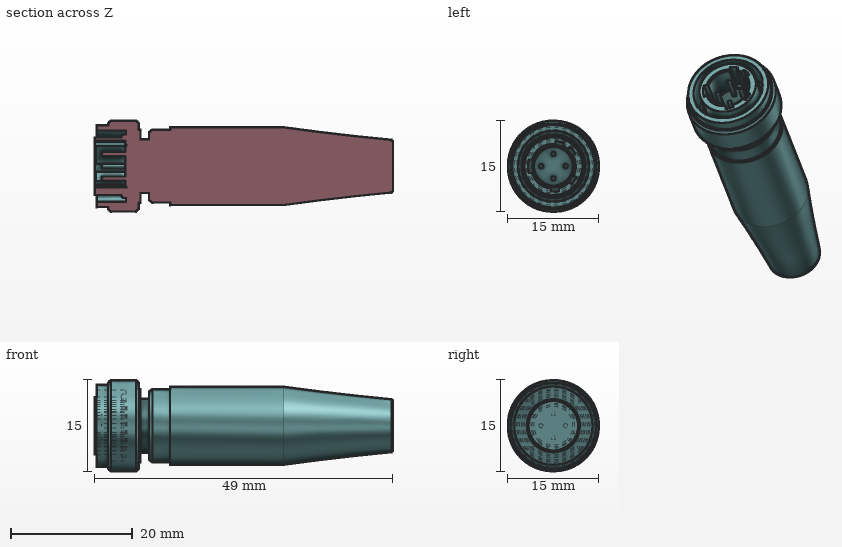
import cadquery as cq
import math


length = 49.0
sleeve_front = 0.35
nut_front = 2.2
nut_back = 7.25
lip_back = 7.55
collar_front = 8.9
body_front = 12.4
taper_start = 31.0

contact_ring_radius = 4.75
sleeve_radius = 6.75
nut_radius = 7.5
neck_radius = 4.45
collar_radius = 6.05
lip_radius = collar_radius
body_radius = 6.4
tail_radius = 4.35

nut_chamfer = 0.45
collar_chamfer_length = 0.6
collar_chamfer_height = 0.45
tail_chamfer = 0.3

taper_sag = 0.1

gap_outer_radius = 5.85
gap_step_radius = 5.0
gap_base_radius = 5.25
gap_step_depth = 4.4
gap_depth = 5.15

bore_radius = 3.5
bore_chamfer = 0.2
bore_depth = 5.0
insert_chamfer = 0.3

keyway_radius = 4.15
wide_keyway = 2.2
narrow_keyway = 1.3
keyways = [
    (0, wide_keyway),
    (105, narrow_keyway),
    (140, narrow_keyway),
    (215, narrow_keyway),
    (266, narrow_keyway),
]

pin_count = 4
pin_radius = 0.35
pin_nose_radius = 0.25
pin_circle_radius = 2.0
pin_tip = 1.15


def revolve_about_x(profile):
    """Revolve a closed XY profile, with y as the radius, about the X axis."""
    return profile.close().revolve(360, (0, 0, 0), (1, 0, 0))


def outer_shell():
    """Solid turned outline of the whole connector."""
    taper_end = length - tail_chamfer
    taper_middle = (taper_start + taper_end) / 2
    taper_middle_radius = (body_radius + tail_radius) / 2 - taper_sag
    profile = (
        cq.Workplane("XY")
        .moveTo(0, 0)
        .lineTo(0, contact_ring_radius)
        .lineTo(sleeve_front, contact_ring_radius)
        .lineTo(sleeve_front, sleeve_radius)
        .lineTo(nut_front, sleeve_radius)
        .lineTo(nut_front, nut_radius - nut_chamfer)
        .lineTo(nut_front + nut_chamfer, nut_radius)
        .lineTo(nut_back - nut_chamfer, nut_radius)
        .lineTo(nut_back, nut_radius - nut_chamfer)
        .lineTo(nut_back, lip_radius)
        .lineTo(lip_back, lip_radius)
        .lineTo(lip_back, neck_radius)
        .lineTo(collar_front, neck_radius)
        .lineTo(collar_front, collar_radius - collar_chamfer_height)
        .lineTo(collar_front + collar_chamfer_length, collar_radius)
        .lineTo(body_front, collar_radius)
        .lineTo(body_front, body_radius)
        .lineTo(taper_start, body_radius)
        .threePointArc((taper_middle, taper_middle_radius), (taper_end, tail_radius))
        .lineTo(length, tail_radius - tail_chamfer)
        .lineTo(length, 0)
    )
    return revolve_about_x(profile)


def sleeve_gap():
    """Annular gap around the contact ring, with a chamfered step near its bottom."""
    step_chamfer = gap_base_radius - gap_step_radius
    profile = (
        cq.Workplane("XY")
        .moveTo(0, contact_ring_radius)
        .lineTo(0, gap_outer_radius)
        .lineTo(gap_depth, gap_outer_radius)
        .lineTo(gap_depth, gap_base_radius)
        .lineTo(gap_step_depth + step_chamfer, gap_base_radius)
        .lineTo(gap_step_depth, gap_step_radius)
        .lineTo(gap_step_depth, contact_ring_radius)
    )
    return revolve_about_x(profile)


def socket_bore():
    """Bore with a chamfered mouth, leaving a chamfered insert face at its bottom."""
    profile = (
        cq.Workplane("XY")
        .moveTo(0, 0)
        .lineTo(0, bore_radius + bore_chamfer)
        .lineTo(bore_chamfer, bore_radius)
        .lineTo(bore_depth + insert_chamfer, bore_radius)
        .lineTo(bore_depth, bore_radius - insert_chamfer)
        .lineTo(bore_depth, 0)
    )
    return revolve_about_x(profile)


def keyway(angle, width):
    """Parallel-sided slot in the bore wall with a bottom concentric with the bore."""
    inner_radius = bore_radius * math.cos(math.asin(width / 2 / bore_radius))
    height = keyway_radius - inner_radius
    slot = cq.Workplane("XY").box(bore_depth, height, width, centered=(False, False, True))
    slot = slot.translate((0, inner_radius, 0))
    limit = cq.Workplane("YZ").circle(keyway_radius).extrude(bore_depth)
    return slot.intersect(limit).rotate((0, 0, 0), (1, 0, 0), angle)


def contact_pin(angle):
    """Round-nosed pin standing on the insert face."""
    root_overlap = 0.5
    pin = (
        cq.Workplane("XY")
        .moveTo(pin_tip, 0)
        .lineTo(pin_tip, pin_radius - pin_nose_radius)
        .radiusArc((pin_tip + pin_nose_radius, pin_radius), pin_nose_radius)
        .lineTo(bore_depth + root_overlap, pin_radius)
        .lineTo(bore_depth + root_overlap, 0)
    )
    pin = revolve_about_x(pin).translate((0, pin_circle_radius, 0))
    return pin.rotate((0, 0, 0), (1, 0, 0), angle)


result = outer_shell().cut(sleeve_gap()).cut(socket_bore())
for keyway_angle, keyway_width in keyways:
    result = result.cut(keyway(keyway_angle, keyway_width))
for index in range(pin_count):
    result = result.union(contact_pin(index * 360 / pin_count))